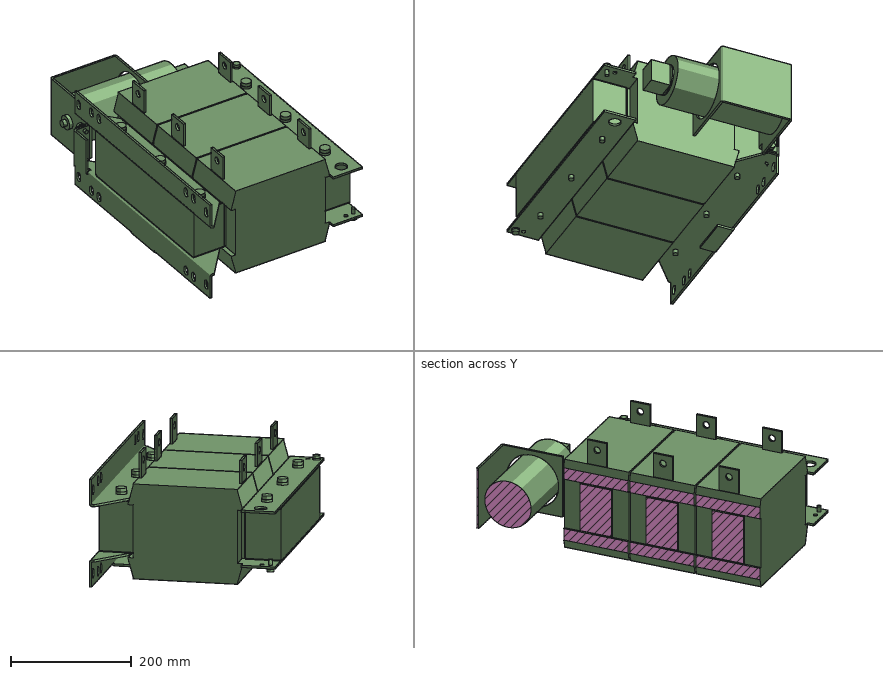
import cadquery as cq


OVERALL_LENGTH = 543.5
OVERALL_HEIGHT = 222.0

SHEET = 4.0
BEND = 5.5
TIGHT_BEND = 4.5

COIL_PITCH = 120.0
COIL_CENTRES = (-COIL_PITCH, 0, COIL_PITCH)
COIL_WIDTH = 117.5
COIL_HALF_Z = 81.0
COIL_HALF_Y = 88.5
LID_HALF_Y = 97.0
LID_TOP_STEP = 3.0
LID_BOTTOM_STEP = 2.5

LIMB_WIDTH = 58.0
CORE_HALF_X = 150.0
CORE_HALF_Z = 43.5
CORE_FRONT = -152.0
CORE_BACK = 156.0
YOKE_DEPTH = 60.5
CLAMP_Z = 45.0
SHIM_HALF_X = CORE_HALF_X - 1.5
PACKING_HALF_X = CORE_HALF_X - 0.5
PACKING_DEPTH = 2.0
CLAMP_OUTER_Z = CLAMP_Z + SHEET

TAB_WIDTH = 35.5
FRONT_TAB = (-85.5, 124.5)
BACK_TAB = (85.0, 120.0)
TAB_HOLE_DROP = 16.0
TAB_HOLE_RADIUS = 6.0

FRONT_BOLT_Y = -121.0
BACK_BOLT_Y = 125.5
BOLT_RADIUS = 8.5
WASHER_MARGIN = 0.5
WASHER_HEIGHT = 4.5
HEAD_HEIGHT = 6.0
SHANK_RADIUS = 4.5
SHANK_OVERHANG = 7.0

PLATE_HALF_X = 189.5
PLATE_FRONT = 97.0
PLATE_BACK = 154.5
EARTH_X = 177.5
EARTH_Y = 144.0
EARTH_HEAD_RADIUS = 6.0
EARTH_HEAD_HEIGHT = 7.0
EARTH_WASHER_HEIGHT = 2.5
EARTH_SHANK_RADIUS = 3.0
EARTH_SHANK_DEPTH = 10.0
SMALL_HOLE_Y = 129.5
SMALL_HOLE_RADIUS = 3.0
LIFT_HOLE_X = 169.5
LIFT_HOLE_RADIUS = 10.5

RAIL_HALF_X = 206.0
RAIL_FRONT = -156.5
RAIL_FLANGE_BACK = -101.5
RAIL_TIP_Y = -148.5
RAIL_OUTER_Z = 92.0
SLOT_WIDTH = 10.5
SLOT_LENGTH = 16.5
END_SLOT = (194.0, 71.0)
INNER_SLOTS = ((155.5, 77.0), (132.5, 77.0))

FOOT_HALF_X = 35.0
FOOT_BACK = -125.5
FOOT_BOTTOM = FRONT_TAB[1] - OVERALL_HEIGHT

BRACKET_LEFT = RAIL_HALF_X - OVERALL_LENGTH
CAP_X = -280.5
CAP_Z = -22.0
CAP_RADIUS = 85.5 / 2
CAP_BACK = 82.0
CAP_CLEARANCE = 5.0
RIM_RADIUS = 26.0
RIM_HEIGHT = 2.0
TERMINAL_WIDTH = 32.0
TERMINAL_HEIGHT = 42.0
TERMINAL_BACK = 118.5
NUT_RADIUS = 12.5
NUT_HEIGHT = 6.5
STUD_RADIUS = 6.0
STUD_LENGTH = 13.5
BRACKET_RIGHT = -226.0
BRACKET_FRONT = -120.0
BRACKET_BACK = 9.0
BRACKET_HALF_Z = 55.5

JOINT_X = -211.5
JOINT_HALF_Z = 35.0
BRACKET_LUG_HALF_Z = 34.0
JOINT_BOLT_OFFSET = 27.5
JOINT_BOLT_Y = -136.0
JOINT_BOLT_RADIUS = 6.5
JOINT_BOLT_HEAD = 8.0
JOINT_WASHER_HEIGHT = 3.0
JOINT_SHANK_RADIUS = 3.0
JOINT_SHANK_END = -201.5
BRACKET_LUG_FRONT = -149.0
TONGUE_FRONT = -152.5
TONGUE_HALF_Z = 19.5
TONGUE_THICKNESS = 2.0
RAIL_LUG_BACK = -126.5
ARM_RIGHT = -172.5
RELIEF_WIDTH = 4.5
RELIEF_DEPTH = 7.0


def block(x0, x1, y0, y1, z0, z1):
    return cq.Workplane("XY").box(x1 - x0, y1 - y0, z1 - z0, centered=False).translate((x0, y0, z0))


def rod_z(x, y, radius, z0, z1):
    return cq.Workplane("XY").center(x, y).circle(radius).extrude(z1 - z0).translate((0, 0, z0))


def rod_y(x, z, radius, y0, y1):
    return cq.Workplane("XZ").center(x, z).circle(radius).extrude(y0 - y1).translate((0, y0, 0))


def rod_x(y, z, radius, x0, x1):
    return cq.Workplane("YZ").center(y, z).circle(radius).extrude(x1 - x0).translate((x0, 0, 0))


def upside_down(body):
    """Turn a body half a turn about the Y axis."""
    return body.rotate((0, 0, 0), (0, 1, 0), 180)


def coil(x):
    half_outline = [
        (COIL_HALF_Y, CLAMP_Z),
        (LID_HALF_Y, CLAMP_Z),
        (LID_HALF_Y, CLAMP_Z + LID_BOTTOM_STEP),
        (COIL_HALF_Y, COIL_HALF_Z - LID_TOP_STEP),
        (COIL_HALF_Y, COIL_HALF_Z),
    ]
    right = [(y, -z) for y, z in reversed(half_outline)] + half_outline
    left = [(-y, -z) for y, z in right]
    outline = cq.Workplane("YZ").polyline(right + left).close()
    return outline.extrude(COIL_WIDTH / 2, both=True).translate((x, 0, 0))


def terminal_tab(x, y, top):
    tab = block(x - TAB_WIDTH / 2, x + TAB_WIDTH / 2, y - SHEET / 2, y + SHEET / 2, COIL_HALF_Z, top)
    return tab.cut(rod_y(x, top - TAB_HOLE_DROP, TAB_HOLE_RADIUS, y - SHEET, y + SHEET))


def core():
    body = cq.Workplane("XY")
    for x in COIL_CENTRES:
        limb = block(x - LIMB_WIDTH / 2, x + LIMB_WIDTH / 2, CORE_FRONT, CORE_BACK, -CORE_HALF_Z, CORE_HALF_Z)
        body = body.union(limb)
    for y0 in (CORE_FRONT, CORE_BACK - YOKE_DEPTH):
        y1 = y0 + YOKE_DEPTH
        yoke = block(-CORE_HALF_X, CORE_HALF_X, y0, y1, -CORE_HALF_Z, CORE_HALF_Z)
        shims = block(-SHIM_HALF_X, SHIM_HALF_X, y0, y1, -CLAMP_Z, CLAMP_Z)
        body = body.union(yoke).union(shims)
    yoke_face = CORE_BACK - YOKE_DEPTH
    packing = block(
        -PACKING_HALF_X, PACKING_HALF_X, yoke_face - PACKING_DEPTH, yoke_face, -CORE_HALF_Z, CORE_HALF_Z
    )
    return body.union(packing)


def core_bolt(x, y):
    washer_top = CLAMP_OUTER_Z + WASHER_HEIGHT
    washer = rod_z(x, y, BOLT_RADIUS + WASHER_MARGIN, CLAMP_OUTER_Z, washer_top)
    head = rod_z(x, y, BOLT_RADIUS, washer_top, washer_top + HEAD_HEIGHT)
    shank = rod_z(x, y, SHANK_RADIUS, -CLAMP_OUTER_Z - SHANK_OVERHANG, washer_top)
    return washer.union(head).union(shank)


def back_plate():
    plate = block(-PLATE_HALF_X, PLATE_HALF_X, PLATE_FRONT, PLATE_BACK, CLAMP_Z, CLAMP_OUTER_Z)
    plate = plate.cut(rod_z(-EARTH_X, SMALL_HOLE_Y, SMALL_HOLE_RADIUS, CLAMP_Z, CLAMP_OUTER_Z))
    plate = plate.cut(rod_z(LIFT_HOLE_X, BACK_BOLT_Y, LIFT_HOLE_RADIUS, CLAMP_Z, CLAMP_OUTER_Z))
    head_top = CLAMP_OUTER_Z + EARTH_HEAD_HEIGHT
    head = rod_z(-EARTH_X, EARTH_Y, EARTH_HEAD_RADIUS, CLAMP_OUTER_Z, head_top)
    washer = rod_z(
        -EARTH_X, EARTH_Y, EARTH_HEAD_RADIUS + WASHER_MARGIN,
        CLAMP_OUTER_Z, CLAMP_OUTER_Z + EARTH_WASHER_HEIGHT,
    )
    shank = rod_z(-EARTH_X, EARTH_Y, EARTH_SHANK_RADIUS, CLAMP_Z - EARTH_SHANK_DEPTH, head_top)
    return plate.union(head).union(washer).union(shank)


def upper_rail():
    """Angle rail: upright front web, flat flange with slanted ends."""
    inner_y = RAIL_FRONT + SHEET
    profile = [
        (RAIL_FLANGE_BACK, CLAMP_Z),
        (RAIL_FRONT, CLAMP_Z),
        (RAIL_FRONT, RAIL_OUTER_Z),
        (inner_y, RAIL_OUTER_Z),
        (inner_y, CLAMP_OUTER_Z),
        (RAIL_FLANGE_BACK, CLAMP_OUTER_Z),
    ]
    rail = cq.Workplane("YZ").polyline(profile).close().extrude(RAIL_HALF_X, both=True)
    rail = rail.edges(cq.selectors.NearestToPointSelector((0, RAIL_FRONT, CLAMP_Z))).fillet(BEND)
    rail = rail.edges(cq.selectors.NearestToPointSelector((0, inner_y, CLAMP_OUTER_Z))).fillet(BEND - SHEET)
    plan = [
        (-RAIL_HALF_X, RAIL_FRONT),
        (RAIL_HALF_X, RAIL_FRONT),
        (RAIL_HALF_X, RAIL_TIP_Y),
        (CORE_HALF_X, RAIL_FLANGE_BACK),
        (-CORE_HALF_X, RAIL_FLANGE_BACK),
        (-RAIL_HALF_X, RAIL_TIP_Y),
    ]
    rail = rail.intersect(cq.Workplane("XY").polyline(plan).close().extrude(RAIL_OUTER_Z))
    for x, z in (END_SLOT, *INNER_SLOTS):
        for side in (-1, 1):
            slot = cq.Workplane("XZ").center(side * x, z).slot2D(SLOT_LENGTH, SLOT_WIDTH, 90)
            rail = rail.cut(slot.extrude(-SHEET).translate((0, RAIL_FRONT, 0)))
    return rail


def joint_arm():
    """Arm rising from the lower rail, with a lug bent back for the capacitor bracket."""
    z0 = CAP_Z - JOINT_HALF_Z
    z1 = CAP_Z + JOINT_HALF_Z
    outer = block(JOINT_X, ARM_RIGHT, RAIL_FRONT, RAIL_LUG_BACK, z0, z1)
    outer = outer.edges("|Z and <X and <Y").fillet(TIGHT_BEND)
    inner = block(JOINT_X + SHEET, ARM_RIGHT, RAIL_FRONT + SHEET, RAIL_LUG_BACK, z0, z1)
    inner = inner.edges("|Z and <X and <Y").fillet(TIGHT_BEND - SHEET)
    return outer.cut(inner)


def foot():
    """Lug bent back under the middle of the lower rail."""
    top = SHEET - RAIL_OUTER_Z
    outer = block(-FOOT_HALF_X, FOOT_HALF_X, RAIL_FRONT, FOOT_BACK, FOOT_BOTTOM, top)
    outer = outer.edges("|X and <Y and <Z").fillet(BEND)
    inner = block(-FOOT_HALF_X, FOOT_HALF_X, RAIL_FRONT + SHEET, FOOT_BACK, FOOT_BOTTOM + SHEET, top)
    inner = inner.edges("|X and <Y and <Z").fillet(BEND - SHEET)
    return outer.cut(inner)


def lower_rail():
    relief = block(
        ARM_RIGHT, ARM_RIGHT + RELIEF_WIDTH,
        RAIL_FRONT, RAIL_FRONT + RELIEF_DEPTH,
        -CLAMP_Z - RELIEF_DEPTH, -CLAMP_Z,
    )
    web = block(-RAIL_HALF_X, ARM_RIGHT, RAIL_FRONT, RAIL_FRONT + SHEET, -CLAMP_Z - RELIEF_DEPTH, -CLAMP_Z)
    return upside_down(upper_rail()).cut(relief).union(web).union(joint_arm()).union(foot())


def capacitor():
    can = rod_y(CAP_X, CAP_Z, CAP_RADIUS, BRACKET_FRONT + SHEET, CAP_BACK)
    rim = rod_y(CAP_X, CAP_Z, RIM_RADIUS, CAP_BACK, CAP_BACK + RIM_HEIGHT)
    terminal = block(
        CAP_X - TERMINAL_WIDTH / 2, CAP_X + TERMINAL_WIDTH / 2,
        CAP_BACK, TERMINAL_BACK,
        CAP_Z - TERMINAL_HEIGHT / 2, CAP_Z + TERMINAL_HEIGHT / 2,
    )
    nut = rod_y(CAP_X, CAP_Z, NUT_RADIUS, BRACKET_FRONT - NUT_HEIGHT, BRACKET_FRONT)
    stud = rod_y(CAP_X, CAP_Z, STUD_RADIUS, BRACKET_FRONT - STUD_LENGTH, BRACKET_FRONT)
    return can.union(rim).union(terminal).union(nut).union(stud)


def capacitor_bracket():
    z0 = CAP_Z - BRACKET_HALF_Z
    z1 = CAP_Z + BRACKET_HALF_Z
    outer = block(BRACKET_LEFT, BRACKET_RIGHT, BRACKET_FRONT, BRACKET_BACK, z0, z1)
    outer = outer.edges("|Z and <X").fillet(TIGHT_BEND)
    inner = block(
        BRACKET_LEFT + SHEET, BRACKET_RIGHT, BRACKET_FRONT + SHEET, BRACKET_BACK - SHEET, z0, z1
    )
    inner = inner.edges("|Z and <X").fillet(TIGHT_BEND - SHEET)
    hole = rod_y(CAP_X, CAP_Z, CAP_RADIUS + CAP_CLEARANCE, BRACKET_BACK - SHEET, BRACKET_BACK)
    return outer.cut(inner).cut(hole).union(bracket_lug())


def bracket_lug():
    """Narrow end of the bracket, bent forward along the rail lug."""
    z0 = CAP_Z - BRACKET_LUG_HALF_Z
    z1 = CAP_Z + BRACKET_LUG_HALF_Z
    outer = block(BRACKET_RIGHT, JOINT_X, BRACKET_LUG_FRONT, BRACKET_FRONT + SHEET, z0, z1)
    outer = outer.edges("|Z and >X and >Y").fillet(BEND)
    inner = block(BRACKET_RIGHT, JOINT_X - SHEET, BRACKET_LUG_FRONT, BRACKET_FRONT, z0, z1)
    inner = inner.edges("|Z and >X and >Y").fillet(BEND - SHEET)
    tongue = block(
        JOINT_X - TONGUE_THICKNESS, JOINT_X,
        TONGUE_FRONT, BRACKET_LUG_FRONT,
        CAP_Z - TONGUE_HALF_Z, CAP_Z + TONGUE_HALF_Z,
    )
    return outer.cut(inner).union(tongue)


def joint_bolt(z):
    lug_face = JOINT_X - SHEET
    head = rod_x(JOINT_BOLT_Y, z, JOINT_BOLT_RADIUS, lug_face - JOINT_BOLT_HEAD, lug_face)
    shank = rod_x(JOINT_BOLT_Y, z, JOINT_SHANK_RADIUS, lug_face, JOINT_SHANK_END)
    washer = rod_x(
        JOINT_BOLT_Y, z, JOINT_BOLT_RADIUS + WASHER_MARGIN, lug_face - JOINT_WASHER_HEIGHT, lug_face
    )
    return head.union(washer).union(shank)


result = core()
for coil_x in COIL_CENTRES:
    result = result.union(coil(coil_x))
    for tab_y, tab_top in (FRONT_TAB, BACK_TAB):
        result = result.union(terminal_tab(coil_x, tab_y, tab_top))

result = result.union(back_plate()).union(upside_down(back_plate()))
result = result.union(upper_rail()).union(lower_rail())

for bolt_x in COIL_CENTRES:
    for bolt_y in (FRONT_BOLT_Y, BACK_BOLT_Y):
        result = result.union(core_bolt(bolt_x, bolt_y))

result = result.union(capacitor_bracket()).union(capacitor())
for offset in (-JOINT_BOLT_OFFSET, JOINT_BOLT_OFFSET):
    result = result.union(joint_bolt(CAP_Z + offset))